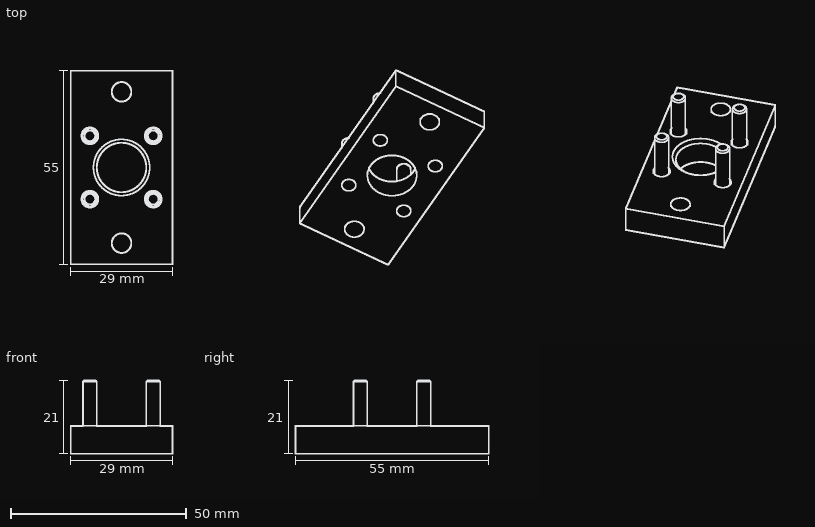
import cadquery as cq

PLATE_WIDTH = 29.0
PLATE_LENGTH = 55.0
PLATE_THICKNESS = 8.0

BORE_DIAMETER = 14.0
BORE_CHAMFER = 1.0
BORE_CHAMFER_ANGLE = 90.0

MOUNTING_HOLE_DIAMETER = 5.5
MOUNTING_HOLE_SPACING = 43.0

PIN_DIAMETER = 4.0
PIN_SPACING = 18.0
PIN_PROJECTION = 13.0
PIN_TIP_CHAMFER = 0.5
PIN_LENGTH = PLATE_THICKNESS + PIN_PROJECTION

RECESS_DIAMETER = 4.8
RECESS_DEPTH = PLATE_THICKNESS / 2

MOUNTING_CENTRES = [(0, side * MOUNTING_HOLE_SPACING / 2) for side in (-1, 1)]
PIN_CENTRES = [
    (x_side * PIN_SPACING / 2, y_side * PIN_SPACING / 2)
    for x_side in (-1, 1)
    for y_side in (-1, 1)
]


def top_face(plate):
    """Workplane on the plate's upper face, with its origin on the Z axis."""
    return plate.faces(">Z").workplane(origin=(0, 0, 0))


def cut_bore(plate):
    """Central through bore with a conical upper rim."""
    rim_diameter = BORE_DIAMETER + 2 * BORE_CHAMFER
    return top_face(plate).cskHole(BORE_DIAMETER, rim_diameter, BORE_CHAMFER_ANGLE)


def cut_mounting_holes(plate):
    """Plain through holes near the two short ends."""
    return top_face(plate).pushPoints(MOUNTING_CENTRES).hole(MOUNTING_HOLE_DIAMETER)


def cut_pin_seats(plate):
    """Stepped holes: a clearance recess above a close fit for the pin."""
    seats = top_face(plate).pushPoints(PIN_CENTRES)
    return seats.cboreHole(PIN_DIAMETER, RECESS_DIAMETER, RECESS_DEPTH)


def make_plate():
    """Rectangular plate with its bore, mounting holes and pin seats."""
    plate = cq.Workplane("XY").box(
        PLATE_WIDTH, PLATE_LENGTH, PLATE_THICKNESS, centered=(True, True, False)
    )
    plate = cut_bore(plate)
    plate = cut_mounting_holes(plate)
    return cut_pin_seats(plate)


def make_pin(centre):
    """Round pin from the plate's underside to a chamfered tip above the plate."""
    return (
        cq.Workplane("XY")
        .center(*centre)
        .circle(PIN_DIAMETER / 2)
        .extrude(PIN_LENGTH)
        .faces(">Z")
        .chamfer(PIN_TIP_CHAMFER)
    )


plate = make_plate()
pins = [make_pin(centre) for centre in PIN_CENTRES]

result = cq.Compound.makeCompound([plate.val(), *[pin.val() for pin in pins]])